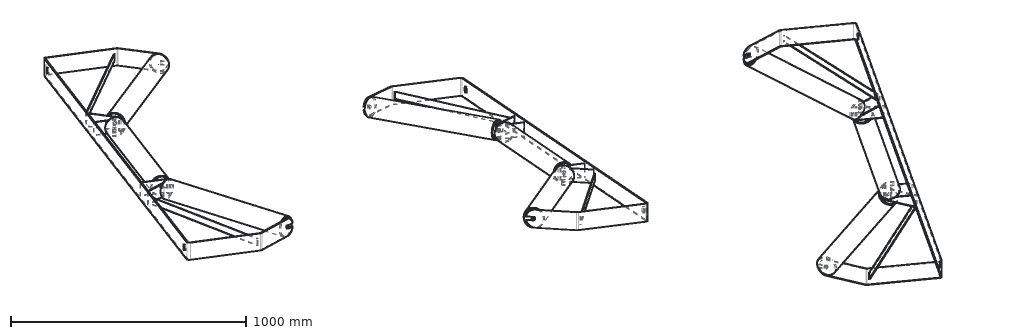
import cadquery as cq
import math

frame_length = 2000.0
strap_width = 80.0
strap_thickness = 5.0
bend_radius = 12.0
plate_free_end = 32.0
mount_slot_width = 18.0
mount_slot_length = 28.0
mount_slot_inset = 48.0

roller_diameter = 90.0
roller_length = 640.0
roller_chamfer = 5.0
trough_angle = 35.0
mid_axis_height = 100.0
side_axis_x = 618.0
side_axis_y = 295.0
shaft_diameter = 15.0
shaft_overhang = 8.0
bracket_gap = 2.0
end_plate_gap = 5.0

bracket_width = 60.0
bracket_height = 128.0
brace_width = 32.0
brace_thickness = 5.0
brace_top_height = 315.0
brace_foot_x = 432.0

half_length = frame_length / 2
upright_inner_x = half_length - strap_thickness
bracket_inner = roller_length / 2 + bracket_gap
bracket_outer = bracket_inner + strap_thickness
plate_inner = roller_length / 2 + end_plate_gap
plate_outer = plate_inner + strap_thickness
tilt = math.radians(trough_angle)


def tilted_point(along, across):
    """XY point measured along and across the axis of the +X tilted roller."""
    return (
        side_axis_x + along * math.cos(tilt) - across * math.sin(tilt),
        side_axis_y + along * math.sin(tilt) + across * math.cos(tilt),
    )


def plate_x(along, height):
    """X where a plate square to the tilted axis reaches a height."""
    axis_x, axis_y = tilted_point(along, 0)
    return axis_x - (height - axis_y) * math.tan(tilt)


def plate_height(along, x):
    """Height where a plate square to the tilted axis reaches an X."""
    axis_x, axis_y = tilted_point(along, 0)
    return axis_y - (x - axis_x) / math.tan(tilt)


def bar(outline, width):
    """Flat bar: an XY outline extruded symmetrically along Z."""
    return cq.Workplane("XY").polyline(outline).close().extrude(width / 2, both=True)


def mirror_x(body):
    return body.mirror("YZ")


def tilt_into_place(body):
    return body.rotate((0, 0, 0), (0, 0, 1), trough_angle).translate((side_axis_x, side_axis_y, 0))


def rod(diameter, length):
    """Cylinder along X, centred on the origin."""
    return cq.Workplane("YZ").workplane(offset=-length / 2).circle(diameter / 2).extrude(length)


def make_roller():
    shell = rod(roller_diameter, roller_length).faces("<X or >X").chamfer(roller_chamfer)
    return shell.union(rod(shaft_diameter, roller_length + 2 * shaft_overhang))


def fillet_bend(body, outer_corner, inner_corner):
    """Round both sides of one strap bend, keeping the thickness constant."""
    body = body.edges(cq.selectors.NearestToPointSelector((*outer_corner, 0))).fillet(bend_radius)
    inner_edge = cq.selectors.NearestToPointSelector((*inner_corner, 0))
    return body.edges(inner_edge).fillet(bend_radius - strap_thickness)


def plate_end_waste():
    """Corners outside the round free end of the +X end plate."""
    radius = strap_width / 2
    start = cq.Workplane("YZ").workplane(offset=plate_inner).center(plate_free_end - radius, 0)
    disc = start.circle(radius).extrude(strap_thickness)
    corners = start.center(radius / 2, 0).rect(radius, strap_width).extrude(strap_thickness).cut(disc)
    return tilt_into_place(corners)


def shaft_slot():
    """Open slot above the shaft in the +X end plate; the shaft itself rounds its bottom."""
    slot = (
        cq.Workplane("YZ")
        .workplane(offset=plate_inner)
        .center(plate_free_end / 2, 0)
        .rect(plate_free_end, shaft_diameter)
        .extrude(strap_thickness)
    )
    return tilt_into_place(slot)


def mount_slot():
    return (
        cq.Workplane("XZ")
        .center(half_length - mount_slot_inset, 0)
        .slot2D(mount_slot_length, mount_slot_width, 90)
        .extrude(-strap_thickness)
    )


def make_strap():
    foot_outer = (half_length, 0)
    foot_inner = (upright_inner_x, strap_thickness)
    knee_outer = (half_length, plate_height(plate_outer, half_length))
    knee_inner = (upright_inner_x, plate_height(plate_inner, upright_inner_x))
    half_outline = [
        (0, 0),
        foot_outer,
        knee_outer,
        tilted_point(plate_outer, plate_free_end),
        tilted_point(plate_inner, plate_free_end),
        knee_inner,
        foot_inner,
        (0, strap_thickness),
    ]
    half = bar(half_outline, strap_width)
    half = fillet_bend(half, foot_outer, foot_inner)
    half = fillet_bend(half, knee_outer, knee_inner)
    half = half.cut(plate_end_waste()).cut(shaft_slot()).cut(mount_slot())
    return half.union(mirror_x(half))


def make_bracket():
    """Strip folded over a flat top, from the middle roller to the +X roller."""
    under_top = bracket_height - strap_thickness
    outline = [
        (bracket_inner, strap_thickness),
        (bracket_inner, bracket_height),
        (plate_x(-bracket_inner, bracket_height), bracket_height),
        (plate_x(-bracket_inner, strap_thickness), strap_thickness),
        (plate_x(-bracket_outer, strap_thickness), strap_thickness),
        (plate_x(-bracket_outer, under_top), under_top),
        (bracket_outer, under_top),
        (bracket_outer, strap_thickness),
    ]
    return bar(outline, bracket_width)


def make_brace():
    run = upright_inner_x - brace_foot_x
    rise = brace_top_height - strap_thickness
    slope = math.atan2(rise, run)
    outline = [
        (upright_inner_x, brace_top_height),
        (brace_foot_x, strap_thickness),
        (brace_foot_x + brace_thickness / math.sin(slope), strap_thickness),
        (upright_inner_x, brace_top_height - brace_thickness / math.cos(slope)),
    ]
    return bar(outline, brace_width)


mid_roller = make_roller().translate((0, mid_axis_height, 0))
right_roller = tilt_into_place(make_roller())
rollers = [mid_roller, right_roller, mirror_x(right_roller)]

strap = make_strap()
bracket = make_bracket()
for roller in rollers:
    strap = strap.cut(roller)
    bracket = bracket.cut(roller)
brace = make_brace()

bodies = [strap, bracket, mirror_x(bracket), brace, mirror_x(brace), *rollers]
result = cq.Compound.makeCompound([body.val() for body in bodies])